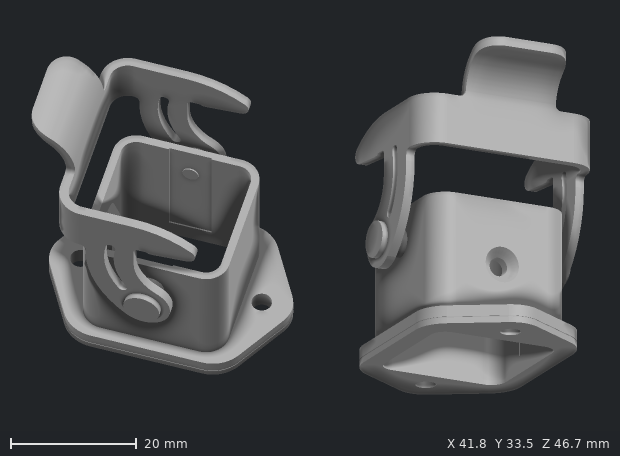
import cadquery as cq
import math

flange_height = 3.0
flange_half_width = 13.98
flange_corner_radius = 6.0
flange_end_radius = 5.0
flange_hole_offset = 15.0
flange_hole_diameter = 3.25
flange_side_angle = 30.0
groove_bottom = 1.0
groove_height = 0.15
groove_depth = 0.1

box_width = 24.05
box_top = 23.0
box_corner_radius = 3.85
wall = 1.3
cavity_width = box_width - 2 * wall
cavity_corner_radius = box_corner_radius - wall

boss_height = 12.15
boss_length = 1.78
boss_base_diameter = 9.25
boss_tip_diameter = boss_base_diameter - 2 * boss_length
countersink_diameter = 5.9
screw_hole_diameter = 3.1
countersink_depth = (countersink_diameter - screw_hole_diameter) / 2

pivot_height = 17.5
pivot_diameter = 4.8
pivot_head_diameter = 6.0
pivot_head_length = 1.0
pivot_tail_diameter = 2.6
recess_width = 7.0
recess_depth = 0.25

sheet = 1.5
lever_width = 31.55
lever_half_width = lever_width / 2
lever_back = -15.0
lever_bend_radius = 4.5
lever_top = 38.2
band_bottom = 29.9
pivot_hole_diameter = 5.0
eye_radius = 4.5
arm_back = -9.5
arm_front = -1.55
arm_back_fillet = 1.0
arm_front_fillet = 0.65
arm_curve_height = 28.0
top_straight_end = -1.85
hook_tip_x = 7.1
hook_tip_z = 33.8
hook_tip_radius = 1.5
hook_notch_height = 32.1
hook_step_start = 0.55
hook_step_end = 0.95
hook_low_point = 1.85
hook_low_height = 31.85
slot_width = 1.6
slot_centre_x = 7.1
slot_centre_z = 28.3
slot_radius = 12.75
slot_start_angle = 168.0
slot_end_angle = 214.5

tab_half_width = 8.0
tab_radius = 8.55
tab_end = -21.75
tab_corner_radius = 4.0
tab_foot_radius = 1.0

pivot_head_end = lever_half_width + pivot_head_length


def polar(centre_x, centre_y, radius, degrees):
    """Point on a circle."""
    angle = math.radians(degrees)
    return (centre_x + radius * math.cos(angle), centre_y + radius * math.sin(angle))


def y_cylinder(diameter, start_y, end_y):
    """Cylinder along Y on the pivot axis."""
    plane = cq.Plane(origin=(0, start_y, pivot_height), xDir=(1, 0, 0), normal=(0, 1, 0))
    return cq.Workplane(plane).circle(diameter / 2).extrude(end_y - start_y)


def flange_slab(inset, bottom, height):
    """Hexagonal flange plate with rounded corners, its outline moved inwards by inset."""
    corner_r = flange_corner_radius - inset
    end_r = flange_end_radius - inset
    corner_y = flange_half_width - flange_corner_radius
    side_cos = math.cos(math.radians(flange_side_angle))
    side_sin = math.sin(math.radians(flange_side_angle))
    side_distance = flange_hole_offset * side_cos + flange_end_radius
    corner_x = (side_distance - flange_corner_radius - corner_y * side_sin) / side_cos
    corner_mid_angle = (flange_side_angle + 90) / 2

    side_end = polar(flange_hole_offset, 0, end_r, flange_side_angle)
    end_tip = polar(flange_hole_offset, 0, end_r, 0)
    side_start = polar(corner_x, corner_y, corner_r, flange_side_angle)
    corner_mid = polar(corner_x, corner_y, corner_r, corner_mid_angle)
    corner_top = polar(corner_x, corner_y, corner_r, 90)

    def flip(point, sign_x, sign_y):
        return (sign_x * point[0], sign_y * point[1])

    return (
        cq.Workplane("XY", origin=(0, 0, bottom))
        .moveTo(*side_start)
        .lineTo(*side_end)
        .threePointArc(end_tip, flip(side_end, 1, -1))
        .lineTo(*flip(side_start, 1, -1))
        .threePointArc(flip(corner_mid, 1, -1), flip(corner_top, 1, -1))
        .lineTo(*flip(corner_top, -1, -1))
        .threePointArc(flip(corner_mid, -1, -1), flip(side_start, -1, -1))
        .lineTo(*flip(side_end, -1, -1))
        .threePointArc(flip(end_tip, -1, 1), flip(side_end, -1, 1))
        .lineTo(*flip(side_start, -1, 1))
        .threePointArc(flip(corner_mid, -1, 1), flip(corner_top, -1, 1))
        .lineTo(*corner_top)
        .threePointArc(corner_mid, side_start)
        .close()
        .extrude(height)
    )


def flange():
    plate = flange_slab(0, 0, flange_height)
    groove = flange_slab(0, groove_bottom, groove_height).cut(
        flange_slab(groove_depth, groove_bottom, groove_height)
    )
    holes = (
        cq.Workplane("XY")
        .pushPoints([(-flange_hole_offset, 0), (flange_hole_offset, 0)])
        .circle(flange_hole_diameter / 2)
        .extrude(flange_height)
    )
    return plate.cut(groove).cut(holes)


def rounded_square_block(width, corner_radius, height):
    return cq.Workplane("XY").rect(width, width).extrude(height).edges("|Z").fillet(corner_radius)


def boss_plane(x):
    """Plane on the screw axis, facing +X."""
    return cq.Plane(origin=(x, 0, boss_height), xDir=(0, 1, 0), normal=(1, 0, 0))


def cone(x, start_diameter, end_diameter, length):
    """Truncated cone along the screw axis."""
    return (
        cq.Workplane(boss_plane(x))
        .circle(start_diameter / 2)
        .workplane(offset=length)
        .circle(end_diameter / 2)
        .loft()
    )


def add_screw_boss(body):
    outer_x = -box_width / 2
    inner_x = -cavity_width / 2
    boss = cone(inner_x, boss_base_diameter, boss_tip_diameter, boss_length)
    countersink = cone(outer_x, countersink_diameter, screw_hole_diameter, countersink_depth)
    hole = cq.Workplane(boss_plane(outer_x)).circle(screw_hole_diameter / 2).extrude(wall + boss_length)
    return body.union(boss).cut(countersink).cut(hole)


def add_pivot(body, side):
    """Headed pivot on one side wall, with its tail in a shallow recess inside the wall."""
    inner_y = cavity_width / 2
    recess = (
        cq.Workplane("XY", origin=(0, side * inner_y, flange_height))
        .rect(recess_width, 2 * recess_depth)
        .extrude(box_top - flange_height)
    )
    tail = y_cylinder(pivot_tail_diameter, side * inner_y, side * (inner_y + wall))
    shaft = y_cylinder(pivot_diameter, side * (inner_y + wall / 2), side * pivot_head_end)
    head = y_cylinder(pivot_head_diameter, side * lever_half_width, side * pivot_head_end)
    return body.cut(recess).union(tail).union(shaft).union(head)


def make_housing():
    body = flange().union(rounded_square_block(box_width, box_corner_radius, box_top))
    body = body.cut(rounded_square_block(cavity_width, cavity_corner_radius, box_top))
    body = add_screw_boss(body)
    for side in (-1, 1):
        body = add_pivot(body, side)
    return body


def lever_side_profile():
    """Closed outline of the lever in the XZ plane."""
    dx = hook_tip_x - top_straight_end
    dz = lever_top - hook_tip_z
    top_radius = (dx**2 + dz**2 - hook_tip_radius**2) / (2 * (dz - hook_tip_radius))
    top_centre_z = lever_top - top_radius
    top_end_angle = math.degrees(math.atan2(hook_tip_z - top_centre_z, dx))
    top_end = polar(top_straight_end, top_centre_z, top_radius, top_end_angle)
    top_mid = polar(top_straight_end, top_centre_z, top_radius, (90 + top_end_angle) / 2)

    low_dx = hook_tip_x - hook_low_point
    low_dz = hook_tip_z - hook_low_height
    low_angle = math.atan2(low_dz, low_dx)
    tangent_angle = math.asin(hook_tip_radius / math.hypot(low_dx, low_dz))
    tip_end_angle = math.degrees(low_angle - tangent_angle) - 90
    tip_end = polar(hook_tip_x, hook_tip_z, hook_tip_radius, tip_end_angle)
    tip_mid = (hook_tip_x + hook_tip_radius, hook_tip_z)

    rise = arm_curve_height - pivot_height
    front_radius = (arm_front**2 + rise**2 - eye_radius**2) / (2 * (eye_radius - arm_front))
    front_centre_x = arm_front + front_radius
    front_angle = math.degrees(math.atan2(rise, front_centre_x))
    front_mid = polar(front_centre_x, arm_curve_height, front_radius, 180 + front_angle / 2)
    front_end = polar(0, pivot_height, eye_radius, front_angle)

    back_radius = (arm_back**2 + rise**2 - eye_radius**2) / (2 * (-arm_back - eye_radius))
    back_centre_x = arm_back + back_radius
    back_angle = math.degrees(math.atan2(rise, back_centre_x))
    back_start = polar(0, pivot_height, eye_radius, 180 + back_angle)
    back_mid = polar(back_centre_x, arm_curve_height, back_radius, 180 + back_angle / 2)

    return (
        cq.Workplane("XZ", origin=(0, lever_half_width, 0))
        .moveTo(lever_back, lever_top)
        .lineTo(top_straight_end, lever_top)
        .threePointArc(top_mid, top_end)
        .threePointArc(tip_mid, tip_end)
        .lineTo(hook_low_point, hook_low_height)
        .lineTo(hook_step_end, hook_low_height)
        .lineTo(hook_step_start, hook_notch_height)
        .lineTo(arm_front + arm_front_fillet, hook_notch_height)
        .radiusArc((arm_front, hook_notch_height - arm_front_fillet), -arm_front_fillet)
        .lineTo(arm_front, arm_curve_height)
        .threePointArc(front_mid, front_end)
        .threePointArc((0, pivot_height - eye_radius), back_start)
        .threePointArc(back_mid, (arm_back, arm_curve_height))
        .lineTo(arm_back, band_bottom - arm_back_fillet)
        .radiusArc((arm_back - arm_back_fillet, band_bottom), -arm_back_fillet)
        .lineTo(lever_back, band_bottom)
        .close()
    )


def lever_sheet():
    """Sheet bent to a U in the XY plane, reaching up to the lever top."""
    front = hook_tip_x + hook_tip_radius
    depth = front - lever_back
    outer = (
        cq.Workplane("XY")
        .center(lever_back + depth / 2, 0)
        .rect(depth, lever_width)
        .extrude(lever_top)
        .edges("|Z and <X")
        .fillet(lever_bend_radius)
    )
    inner = (
        cq.Workplane("XY")
        .center(lever_back + sheet + depth / 2, 0)
        .rect(depth, lever_width - 2 * sheet)
        .extrude(lever_top)
        .edges("|Z and <X")
        .fillet(lever_bend_radius - sheet)
    )
    return outer.cut(inner)


def lever_slot():
    """Curved slot with round ends through both arms."""
    mid_angle = (slot_start_angle + slot_end_angle) / 2
    outer_r = slot_radius + slot_width / 2
    inner_r = slot_radius - slot_width / 2

    def at(radius, degrees):
        return polar(slot_centre_x, slot_centre_z, radius, degrees)

    return (
        cq.Workplane("XZ", origin=(0, lever_half_width, 0))
        .moveTo(*at(outer_r, slot_start_angle))
        .threePointArc(at(outer_r, mid_angle), at(outer_r, slot_end_angle))
        .radiusArc(at(inner_r, slot_end_angle), -slot_width / 2)
        .threePointArc(at(inner_r, mid_angle), at(inner_r, slot_start_angle))
        .radiusArc(at(outer_r, slot_start_angle), -slot_width / 2)
        .close()
        .extrude(lever_width)
    )


def tab_strip(half_width):
    """Quarter-round strip that curls from the band up and away to -X."""
    centre_x = lever_back + sheet - tab_radius
    ring = (
        cq.Workplane("XZ", origin=(centre_x, half_width, lever_top))
        .circle(tab_radius)
        .circle(tab_radius - sheet)
        .extrude(2 * half_width)
    )
    quarter = (
        cq.Workplane("XY")
        .box(tab_radius, 2 * half_width, tab_radius, centered=(False, True, False))
        .translate((tab_end, 0, lever_top))
    )
    return ring.intersect(quarter)


def thumb_tab():
    tab = tab_strip(tab_half_width).edges("|Z and <X").fillet(tab_corner_radius)
    foot_half_width = tab_half_width + tab_foot_radius
    foot_zone = (
        cq.Workplane("XY", origin=(lever_back, 0, lever_top))
        .rect(2 * tab_radius, 2 * foot_half_width)
        .extrude(tab_foot_radius)
    )
    foot = tab_strip(foot_half_width).intersect(foot_zone)
    rounding = (
        cq.Workplane("YZ", origin=(lever_back - tab_radius, 0, lever_top + tab_foot_radius))
        .pushPoints([(-foot_half_width, 0), (foot_half_width, 0)])
        .circle(tab_foot_radius)
        .extrude(2 * tab_radius)
    )
    return tab.union(foot.cut(rounding))


def make_lever():
    profile = lever_side_profile().extrude(lever_width)
    pivot_hole = y_cylinder(pivot_hole_diameter, -lever_half_width, lever_half_width)
    body = lever_sheet().intersect(profile).cut(lever_slot()).cut(pivot_hole)
    return body.union(thumb_tab())


housing = make_housing().solids()
lever = make_lever().solids()
result = cq.Compound.makeCompound([housing.val(), lever.val()])